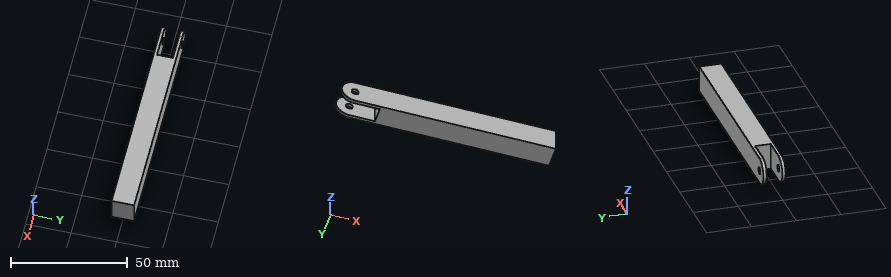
import cadquery as cq

length = 96.0
width = 10.0
height = 12.0

cheek_thickness = 1.5
slot_depth = 17.5
pin_hole_diameter = 3.0

end_radius = height / 2
slot_width = width - 2 * cheek_thickness
left_end = -length / 2
pin_x = left_end + end_radius


def rounded_bar():
    """Bar with a half-round end at -X, centred on the origin."""
    return (
        cq.Workplane("XZ")
        .moveTo(pin_x, end_radius)
        .lineTo(length / 2, end_radius)
        .lineTo(length / 2, -end_radius)
        .lineTo(pin_x, -end_radius)
        .threePointArc((left_end, 0), (pin_x, end_radius))
        .close()
        .extrude(width / 2, both=True)
    )


def fork_slot():
    """Full-height slot that splits the rounded end into two cheeks."""
    return (
        cq.Workplane("XY")
        .box(slot_depth, slot_width, height)
        .translate((left_end + slot_depth / 2, 0, 0))
    )


def pin_hole():
    """Cross hole through both cheeks, concentric with the rounded end."""
    return (
        cq.Workplane("XZ")
        .center(pin_x, 0)
        .circle(pin_hole_diameter / 2)
        .extrude(width / 2, both=True)
    )


result = rounded_bar().cut(fork_slot()).cut(pin_hole())